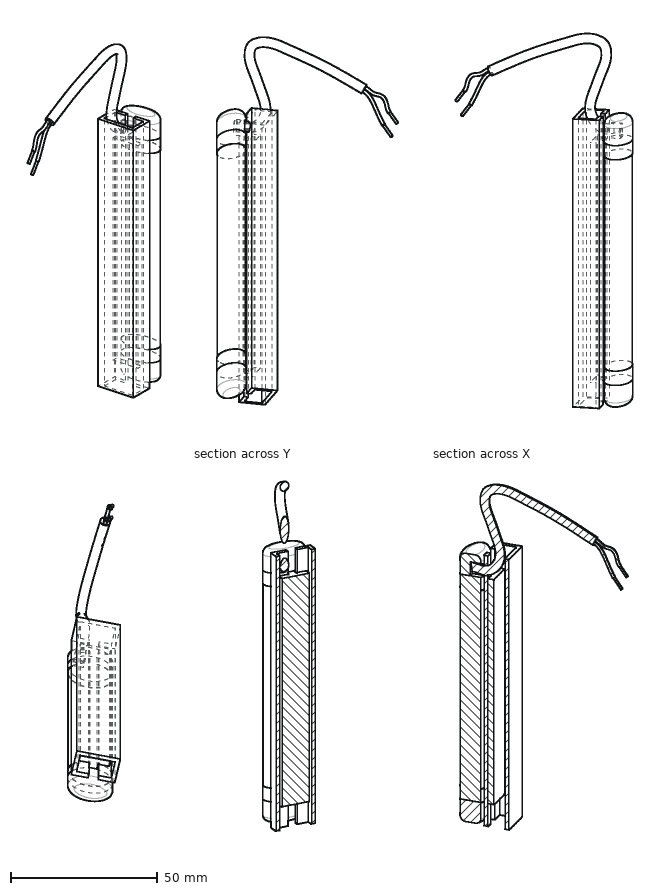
import cadquery as cq

channel_length = 101.8
channel_width = 15.2
channel_depth = 9.3
wall = 1.5
slot_width = 3.5

cap_width = 15.6
cap_depth = 9.4
channel_gap = 0.3
end_gap = 0.4
cap_length = 8.1
cap_rounding = 2.1
notch_radius = 1.8
collar_length = 5.0
collar_step = 0.1
stem_width = 2.8
flange_width = 10.6
flange_thickness = 2.2

cable_diameter = 3.5
cable_x = -4.3
cable_entry_height = 96.5
insulation_diameter = 1.2
core_diameter = 0.95
wire_offset = 0.71
wire_lead = 0.8

lamp_y = channel_gap + cap_depth / 2
lower_seam = end_gap + cap_length
upper_seam = channel_length - lower_seam

cable_path = [
    (4.6, cable_entry_height),
    (2.3, 96.3),
    (-0.5, 96.0),
    (-3.6, 97.5),
    (-6.0, 102.3),
    (-4.4, 109.3),
    (-2.1, 115.6),
    (-0.3, 121.8),
    (-1.0, 125.4),
    (-7.5, 127.3),
    (-12.9, 125.9),
    (-25.8, 121.1),
    (-41.1, 113.9),
]

upper_wire_bends = [(-44.5, 112.6), (-47.4, 112.0), (-49.0, 109.8), (-49.5, 107.7), (-50.2, 106.3)]
upper_wire_tip = (-53.0, 102.7)
lower_wire_bends = [(-43.4, 110.9), (-45.1, 107.7), (-46.5, 104.6), (-48.0, 101.6)]
lower_wire_tip = (-51.0, 97.6)


def cable_plane():
    """Plane of the cable; its local x and y are the part's Y and Z."""
    return cq.Workplane("YZ", origin=(cable_x, 0, 0))


def round_bar(path, diameter):
    """Sweep a circle along a path, square to the path where it starts."""
    edge = path.val()
    start_plane = cq.Plane(
        origin=edge.positionAt(0),
        xDir=(1, 0, 0),
        normal=edge.tangentAt(0),
    )
    return cq.Workplane(start_plane).circle(diameter / 2).sweep(path)


def make_wire(cable, cable_curve, side, bends, tip):
    """Insulated wire with a thinner bare tip; side is +1 or -1 across the cable end."""
    cable_end = cable_curve.val().positionAt(1)
    direction = cable_curve.val().tangentAt(1)
    start = (
        cable_end.y + side * wire_offset * direction.z,
        cable_end.z - side * wire_offset * direction.y,
    )
    lead = (start[0] + wire_lead * direction.y, start[1] + wire_lead * direction.z)
    insulated_path = cable_plane().spline([start, lead, *bends])
    core_path = cable_plane().moveTo(*bends[-1]).lineTo(*tip)
    insulated = round_bar(insulated_path, insulation_diameter)
    return insulated.union(round_bar(core_path, core_diameter)).cut(cable)


def elliptic_bar(bottom, top, inset=0.0):
    """Upright elliptic bar on the lamp axis, smaller than the caps by inset all round."""
    return (
        cq.Workplane("XY", origin=(0, lamp_y, bottom))
        .ellipse(cap_width / 2 - inset, cap_depth / 2 - inset)
        .extrude(top - bottom)
    )


def upright_block(width, front, back, bottom, top):
    """Block centred on X = 0, from front to back in Y and bottom to top in Z."""
    return (
        cq.Workplane("XY", origin=(0, (front + back) / 2, bottom))
        .rect(width, back - front)
        .extrude(top - bottom)
    )


def make_channel(cable):
    outer = upright_block(channel_width, -channel_depth, 0, 0, channel_length)
    cavity = upright_block(
        channel_width - 2 * wall, wall - channel_depth, -wall, 0, channel_length
    )
    slot = upright_block(slot_width, -wall, 0, 0, channel_length)
    return outer.cut(cavity).cut(slot).cut(cable)


def make_lamp_tube():
    tube = elliptic_bar(lower_seam, upper_seam, collar_step)
    lower_collar = elliptic_bar(lower_seam, lower_seam + collar_length)
    upper_collar = elliptic_bar(upper_seam - collar_length, upper_seam)
    stem = upright_block(stem_width, -wall, lamp_y, lower_seam, upper_seam)
    flange = upright_block(
        flange_width, -wall - flange_thickness, -wall, lower_seam, upper_seam
    )
    return tube.union(lower_collar).union(upper_collar).union(stem).union(flange)


def make_lower_cap():
    return elliptic_bar(end_gap, lower_seam).faces("<Z").edges().fillet(cap_rounding)


def make_upper_cap():
    cap = elliptic_bar(upper_seam, channel_length - end_gap)
    cap = cap.faces(">Z").edges().fillet(cap_rounding)
    notch = (
        cq.Workplane("XZ", origin=(cable_x, lamp_y, 0))
        .moveTo(-notch_radius, upper_seam)
        .lineTo(-notch_radius, cable_entry_height)
        .threePointArc(
            (0, cable_entry_height + notch_radius),
            (notch_radius, cable_entry_height),
        )
        .lineTo(notch_radius, upper_seam)
        .close()
        .extrude(lamp_y)
    )
    return cap.cut(notch)


cable_curve = cable_plane().spline(cable_path)
cable = round_bar(cable_curve, cable_diameter)
channel = make_channel(cable)
lamp_tube = make_lamp_tube()
lower_cap = make_lower_cap()
upper_cap = make_upper_cap()
upper_wire = make_wire(cable, cable_curve, 1, upper_wire_bends, upper_wire_tip)
lower_wire = make_wire(cable, cable_curve, -1, lower_wire_bends, lower_wire_tip)

bodies = [channel, lamp_tube, lower_cap, upper_cap, cable, upper_wire, lower_wire]
result = cq.Compound.makeCompound([body.val() for body in bodies])